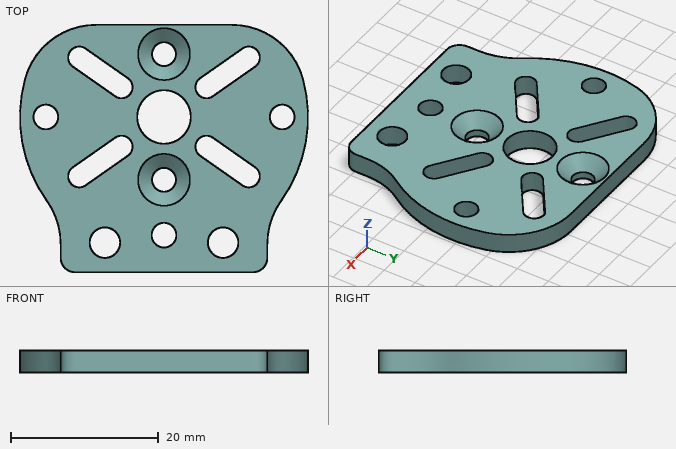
import cadquery as cq
import math

thickness = 3.0
disc_radius = 19.5
top_edge_y = 12.48
bottom_edge_y = -21.0
foot_half_width = 14.0
foot_corner_radius = 2.0
blend_radius = 10.0

center_hole_diameter = 7.2
small_hole_diameter = 3.3
small_hole_distance = 16.0
foot_hole_diameter = 4.1
foot_hole_x = 8.0
foot_hole_y = -17.0

screw_hole_diameter = 3.2
countersink_diameter = 7.0
countersink_angle = 90.0
screw_hole_distance = 8.5

slot_width = 2.95
slot_inner_radius = 7.0
slot_outer_radius = 14.0
slot_angle = 35.0


def point_between(center, toward, distance):
    """Point at a distance from center, on the ray to another point."""
    dx = toward[0] - center[0]
    dy = toward[1] - center[1]
    length = math.hypot(dx, dy)
    return (center[0] + distance * dx / length, center[1] + distance * dy / length)


def arc_middle(center, start, end, radius):
    """Middle of the shorter arc from start to end."""
    chord_middle = ((start[0] + end[0]) / 2, (start[1] + end[1]) / 2)
    return point_between(center, chord_middle, radius)


def mirrored(point):
    return (-point[0], point[1])


def make_plate():
    origin = (0, 0)

    shoulder_y = top_edge_y - blend_radius
    shoulder_x = math.sqrt((disc_radius - blend_radius) ** 2 - shoulder_y**2)
    shoulder = (shoulder_x, shoulder_y)
    shoulder_top = (shoulder_x, top_edge_y)
    shoulder_end = point_between(origin, shoulder, disc_radius)
    shoulder_middle = arc_middle(shoulder, shoulder_top, shoulder_end, blend_radius)

    neck_x = foot_half_width + blend_radius
    neck_y = -math.sqrt((disc_radius + blend_radius) ** 2 - neck_x**2)
    neck = (neck_x, neck_y)
    neck_start = point_between(origin, neck, disc_radius)
    neck_end = (foot_half_width, neck_y)
    neck_middle = arc_middle(neck, neck_start, neck_end, blend_radius)

    disc_side = (disc_radius, 0)
    foot_corner = (foot_half_width, bottom_edge_y)

    plate = (
        cq.Workplane("XY")
        .moveTo(*mirrored(shoulder_top))
        .lineTo(*shoulder_top)
        .threePointArc(shoulder_middle, shoulder_end)
        .threePointArc(disc_side, neck_start)
        .threePointArc(neck_middle, neck_end)
        .lineTo(*foot_corner)
        .lineTo(*mirrored(foot_corner))
        .lineTo(*mirrored(neck_end))
        .threePointArc(mirrored(neck_middle), mirrored(neck_start))
        .threePointArc(mirrored(disc_side), mirrored(shoulder_end))
        .threePointArc(mirrored(shoulder_middle), mirrored(shoulder_top))
        .close()
        .extrude(thickness)
    )
    foot_corners = plate.edges("|Z").edges("<Y")
    return foot_corners.fillet(foot_corner_radius)


def cut_round_holes(plate):
    small_holes = [
        (-small_hole_distance, 0),
        (small_hole_distance, 0),
        (0, -small_hole_distance),
    ]
    foot_holes = [(-foot_hole_x, foot_hole_y), (foot_hole_x, foot_hole_y)]
    top = plate.faces(">Z").workplane(origin=(0, 0, thickness))
    plate = top.hole(center_hole_diameter)
    top = plate.faces(">Z").workplane(origin=(0, 0, thickness))
    plate = top.pushPoints(small_holes).hole(small_hole_diameter)
    top = plate.faces(">Z").workplane(origin=(0, 0, thickness))
    return top.pushPoints(foot_holes).hole(foot_hole_diameter)


def cut_countersunk_holes(plate):
    top = plate.faces(">Z").workplane(origin=(0, 0, thickness))
    return top.pushPoints([(0, -screw_hole_distance), (0, screw_hole_distance)]).cskHole(
        screw_hole_diameter, countersink_diameter, countersink_angle
    )


def cut_slots(plate):
    slot_length = slot_outer_radius - slot_inner_radius + slot_width
    slot_center_radius = (slot_inner_radius + slot_outer_radius) / 2
    for angle in (slot_angle, 180 - slot_angle, 180 + slot_angle, -slot_angle):
        slot = (
            cq.Workplane("XY")
            .center(slot_center_radius, 0)
            .slot2D(slot_length, slot_width)
            .extrude(thickness)
            .rotate((0, 0, 0), (0, 0, 1), angle)
        )
        plate = plate.cut(slot)
    return plate


result = cut_slots(cut_countersunk_holes(cut_round_holes(make_plate())))